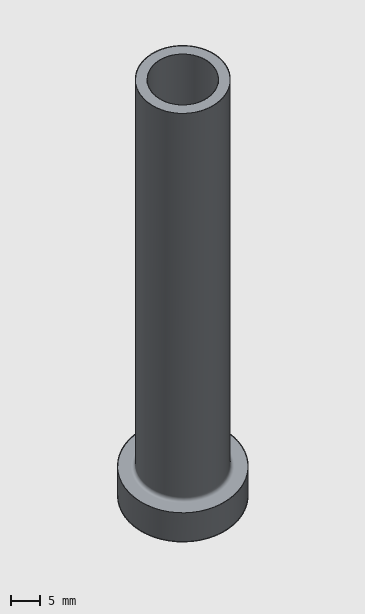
import cadquery as cq

total_height = 100.0
head_diameter = 22.0
head_height = 7.0
tube_diameter = 16.0
bore_diameter = 12.0
root_fillet = 0.7

head = cq.Workplane("XY").circle(head_diameter / 2).extrude(head_height)

tube = cq.Workplane("XY").circle(tube_diameter / 2).extrude(total_height)
sleeve = head.union(tube)

root_edge = cq.selectors.RadiusNthSelector(0)
sleeve = sleeve.faces("<Z[1]").edges(root_edge).fillet(root_fillet)

bore = cq.Workplane("XY").circle(bore_diameter / 2).extrude(total_height)
result = sleeve.cut(bore)